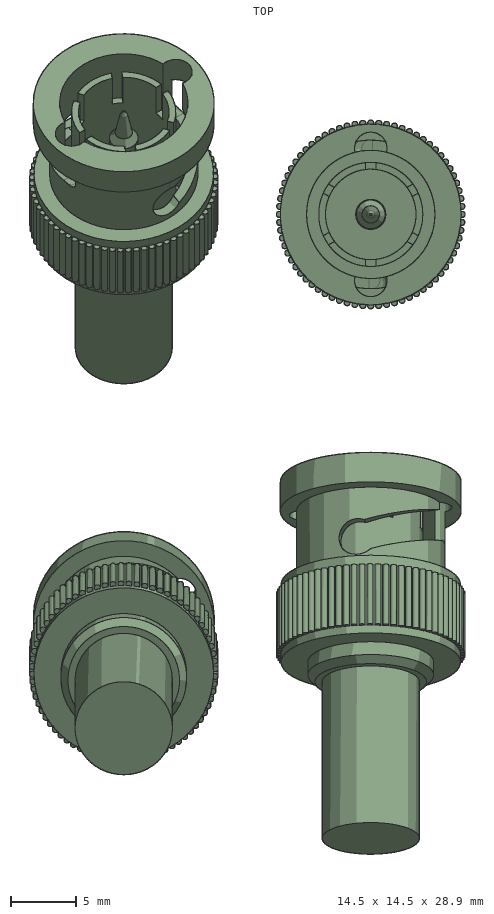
import cadquery as cq
import math


TOP_Z = 28.9
FLANGE_BOTTOM_Z = 26.5
COLLAR_TOP_Z = 20.58
KNURL_TOP_Z = 19.77
KNURL_BOTTOM_Z = 14.92
NUT_BOTTOM_Z = 14.28
NUT_FLOOR_Z = 15.9
SHOULDER_BOTTOM_Z = 12.7
SLEEVE_TOP_Z = 27.85
SLEEVE_FLOOR_Z = 18.8
SLEEVE_SLOT_BOTTOM_Z = 24.8

FLANGE_R = 6.95
BARREL_R = 5.7
COLLAR_R = 6.88
BORE_R = 4.91
KNURL_DIAMETER = 14.48
KNURL_TIP_R = KNURL_DIAMETER / 2
TOOTH_COUNT = 72
TOOTH_HALF_WIDTH = 0.2

ENTRY_R = 1.25
ENTRY_OFFSET = 5.05
ENTRY_BOTTOM_Z = 23.7
ENTRY_FILLET = 0.55
LOCK_HOLE_R = 1.45
LOCK_HOLE_Z = 22.55
HELIX_PITCH = 10.0
HELIX_START_Z = 22.5
HELIX_SLOT_HEIGHT = 2.5
CUT_MARGIN = 0.3
TRACK_INNER_R = BORE_R - CUT_MARGIN
TRACK_OUTER_R = BARREL_R + CUT_MARGIN
TRACK_COUNT = 2

SLEEVE_R = 4.0
SLEEVE_BORE_R = 3.47
SLEEVE_SLOT_WIDTH = 0.8
SLEEVE_SLOT_COUNT = 6
SHOULDER_R = 4.83
SHOULDER_CHAMFER = 0.55
TAIL_R = 3.73

PIN_TIP_R = 0.1
PIN_TIP_Z = 27.9
PIN_POINT_R = 0.3
PIN_POINT_Z = 27.46
PIN_TAPER_R = 0.66
PIN_TAPER_Z = 25.4
PIN_SHANK_R = 1.1
PIN_SHANK_Z = 24.75
PIN_BOTTOM_Z = 17.35
PIN_HOLE_R = 1.15


def cylinder(radius, bottom_z, top_z):
    return cq.Workplane("XY").workplane(offset=bottom_z).circle(radius).extrude(top_z - bottom_z)


def polar(radius, angle):
    return (radius * math.cos(angle), radius * math.sin(angle))


def knurl():
    """Ring of round-topped teeth, joined at their roots by arcs of the collar circle."""
    pitch_angle = 2 * math.pi / TOOTH_COUNT
    half_tooth = math.asin(TOOTH_HALF_WIDTH / COLLAR_R)
    outline = cq.Workplane("XY").workplane(offset=KNURL_BOTTOM_Z).moveTo(*polar(COLLAR_R, -half_tooth))
    for tooth in range(TOOTH_COUNT):
        centre = tooth * pitch_angle
        next_start = centre + pitch_angle - half_tooth
        outline = outline.threePointArc(polar(KNURL_TIP_R, centre), polar(COLLAR_R, centre + half_tooth))
        outline = outline.threePointArc(
            polar(COLLAR_R, centre + pitch_angle / 2),
            polar(COLLAR_R, next_start),
        )
    return outline.close().extrude(KNURL_TOP_Z - KNURL_BOTTOM_Z)


def entry_groove():
    """Round axial groove at +Y, open at the top, with a rounded lower edge."""
    groove = cylinder(ENTRY_R, ENTRY_BOTTOM_Z, TOP_Z).faces("<Z").edges().fillet(ENTRY_FILLET)
    return groove.translate((0, ENTRY_OFFSET, 0))


def helical_slot():
    """Slot through the barrel wall, rising from the locking hole at +X to the entry groove floor."""
    start_floor_z = HELIX_START_Z - HELIX_SLOT_HEIGHT / 2
    rise = ENTRY_BOTTOM_Z - start_floor_z
    path = cq.Wire.makeHelix(HELIX_PITCH, rise, BARREL_R, center=cq.Vector(0, 0, HELIX_START_Z))
    section = (
        cq.Workplane("XZ")
        .center((TRACK_INNER_R + TRACK_OUTER_R) / 2, HELIX_START_Z)
        .rect(TRACK_OUTER_R - TRACK_INNER_R, HELIX_SLOT_HEIGHT)
    )
    return section.sweep(cq.Workplane(path), isFrenet=True)


def locking_hole():
    """Round radial hole through the barrel wall at +X."""
    return (
        cq.Workplane("YZ")
        .workplane(offset=TRACK_INNER_R)
        .center(0, LOCK_HOLE_Z)
        .circle(LOCK_HOLE_R)
        .extrude(TRACK_OUTER_R - TRACK_INNER_R)
    )


def make_nut():
    nut = cylinder(COLLAR_R, NUT_BOTTOM_Z, COLLAR_TOP_Z)
    nut = nut.union(knurl())
    nut = nut.union(cylinder(BARREL_R, COLLAR_TOP_Z, FLANGE_BOTTOM_Z))
    nut = nut.union(cylinder(FLANGE_R, FLANGE_BOTTOM_Z, TOP_Z))
    nut = nut.cut(cylinder(BORE_R, NUT_FLOOR_Z, TOP_Z))
    nut = nut.cut(cylinder(SLEEVE_R, NUT_BOTTOM_Z, NUT_FLOOR_Z))
    for track in range(TRACK_COUNT):
        turn = track * 360 / TRACK_COUNT
        for cutter in (entry_groove(), helical_slot(), locking_hole()):
            nut = nut.cut(cutter.rotate((0, 0, 0), (0, 0, 1), turn))
    return nut


def sleeve_slot(angle):
    """Radial slot through one side of the sleeve wall, open at the top."""
    slot = cq.Workplane("XY").box(
        SLEEVE_R,
        SLEEVE_SLOT_WIDTH,
        SLEEVE_TOP_Z - SLEEVE_SLOT_BOTTOM_Z,
        centered=(False, True, False),
    )
    slot = slot.translate((SLEEVE_BORE_R / 2, 0, SLEEVE_SLOT_BOTTOM_Z))
    return slot.rotate((0, 0, 0), (0, 0, 1), angle)


def make_plug_body():
    shoulder = cylinder(SHOULDER_R, SHOULDER_BOTTOM_Z, NUT_BOTTOM_Z)
    shoulder = shoulder.faces("<Z").edges().chamfer(SHOULDER_CHAMFER)
    body = cylinder(TAIL_R, 0, SHOULDER_BOTTOM_Z)
    body = body.union(shoulder)
    body = body.union(cylinder(SLEEVE_R, NUT_BOTTOM_Z, SLEEVE_TOP_Z))
    body = body.cut(cylinder(SLEEVE_BORE_R, SLEEVE_FLOOR_Z, SLEEVE_TOP_Z))
    body = body.cut(cylinder(PIN_HOLE_R, PIN_BOTTOM_Z, SLEEVE_FLOOR_Z))
    slot_step = 360 / SLEEVE_SLOT_COUNT
    for slot in range(SLEEVE_SLOT_COUNT):
        body = body.cut(sleeve_slot((slot + 0.5) * slot_step))
    return body


def make_pin():
    """Turned pin standing on the bottom of its clearance hole in the sleeve floor."""
    profile = [
        (0, PIN_BOTTOM_Z),
        (PIN_SHANK_R, PIN_BOTTOM_Z),
        (PIN_SHANK_R, PIN_SHANK_Z),
        (PIN_TAPER_R, PIN_TAPER_Z),
        (PIN_POINT_R, PIN_POINT_Z),
        (PIN_TIP_R, PIN_TIP_Z),
        (0, PIN_TIP_Z),
    ]
    return cq.Workplane("XZ").polyline(profile).close().revolve(360, (0, 0), (0, 1))


nut = make_nut()
plug_body = make_plug_body()
pin = make_pin()

result = cq.Compound.makeCompound([nut.val(), plug_body.val(), pin.val()])